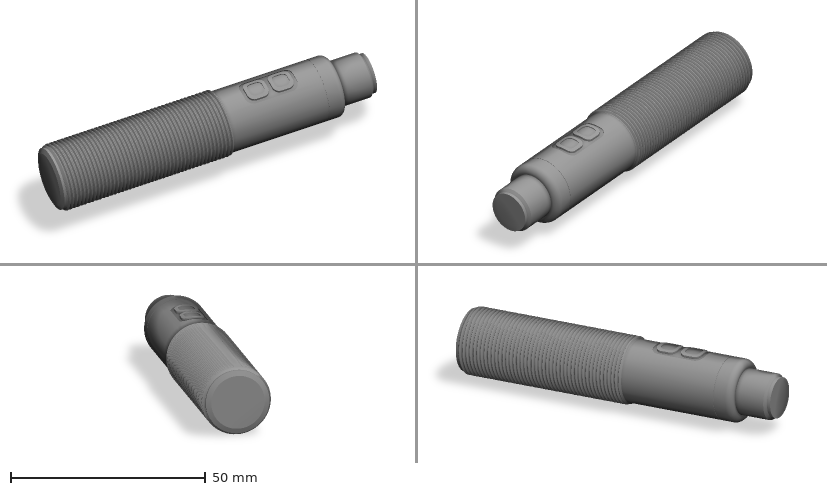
import cadquery as cq
LENGTH = 90.0
FRONT_Y = -LENGTH / 2
BACK_Y = LENGTH / 2

BODY_RADIUS = 8.4
FACE_RADIUS = 7.0
FACE_BEVEL_LENGTH = 0.5
SHOULDER_Y = 35.3
SHOULDER_FILLET = 1.8
SEAM_Y = 30.3
SEAM_WIDTH = 0.3
SEAM_DEPTH = 0.1

CONNECTOR_RADIUS = 6.1
TIP_RADIUS = 5.4
TIP_LENGTH = 0.9
TIP_TAPER = CONNECTOR_RADIUS - TIP_RADIUS

CREST_RADIUS = 9.0
ROOT_RADIUS = 8.5
BASE_RADIUS = 8.3
CORE_OVERRUN = 0.9
TRIM_RADIUS = 9.9
TRIM_LENGTH = 2.7
THREAD_BACK_Y = 3.4
THREAD_LENGTH = 47.25
THREAD_FRONT_Y = THREAD_BACK_Y - THREAD_LENGTH
THREAD_TURNS = 45
PITCH = THREAD_LENGTH / THREAD_TURNS
CREST_HALF_WIDTH = PITCH / 16
ROOT_HALF_WIDTH = PITCH * 3 / 8

RIDGE_START_Y = 4.05
RIDGE_RUNS = 2
RUN_LENGTH = 23 * PITCH

PANEL_WIDTH = 7.6
PANEL_LENGTH = 14.8
PANEL_Y = 16.7
PANEL_CORNER = 2.2
PANEL_DEPTH = 0.3

BUTTON_PITCH = 7.0
BUTTON_SIZE = 5.9
BUTTON_CORNER = 1.8
RIM_HEIGHT = 0.3
KEY_SIZE = 4.1
KEY_CORNER = 1.35


def revolved(profile):
    """Solid turned around the Y axis from a half profile in XY."""
    return profile.close().revolve(360, (0, 0), (0, 1))


def front_end():
    """Short plain collar with the bevelled sensing face."""
    return revolved(
        cq.Workplane("XY")
        .moveTo(0, FRONT_Y)
        .lineTo(FACE_RADIUS, FRONT_Y)
        .lineTo(BODY_RADIUS, FRONT_Y + FACE_BEVEL_LENGTH)
        .lineTo(BODY_RADIUS, THREAD_FRONT_Y)
        .lineTo(0, THREAD_FRONT_Y)
    )


def back_body():
    """Smooth body from the thread to the shoulder, and the connector behind it."""
    return revolved(
        cq.Workplane("XY")
        .moveTo(0, THREAD_BACK_Y)
        .lineTo(BODY_RADIUS, THREAD_BACK_Y)
        .lineTo(BODY_RADIUS, SEAM_Y - SEAM_WIDTH)
        .lineTo(BODY_RADIUS - SEAM_DEPTH, SEAM_Y - SEAM_WIDTH)
        .lineTo(BODY_RADIUS - SEAM_DEPTH, SEAM_Y)
        .lineTo(BODY_RADIUS, SEAM_Y)
        .lineTo(BODY_RADIUS, SHOULDER_Y - SHOULDER_FILLET)
        .radiusArc((BODY_RADIUS - SHOULDER_FILLET, SHOULDER_Y), -SHOULDER_FILLET)
        .lineTo(CONNECTOR_RADIUS, SHOULDER_Y)
        .lineTo(CONNECTOR_RADIUS, BACK_Y - TIP_LENGTH - TIP_TAPER)
        .lineTo(TIP_RADIUS, BACK_Y - TIP_LENGTH)
        .lineTo(TIP_RADIUS, BACK_Y)
        .lineTo(0, BACK_Y)
    )


def ridge_run():
    """One run of the right-handed helical ridge, rooted below the thread's root."""
    flank_slope = (ROOT_HALF_WIDTH - CREST_HALF_WIDTH) / (CREST_RADIUS - ROOT_RADIUS)
    base_half_width = CREST_HALF_WIDTH + flank_slope * (CREST_RADIUS - BASE_RADIUS)
    helix = cq.Wire.makeHelix(PITCH, RUN_LENGTH, BASE_RADIUS)
    return (
        cq.Workplane("XZ")
        .polyline(
            [
                (BASE_RADIUS, -base_half_width),
                (CREST_RADIUS, -CREST_HALF_WIDTH),
                (CREST_RADIUS, CREST_HALF_WIDTH),
                (BASE_RADIUS, base_half_width),
            ]
        )
        .close()
        .sweep(cq.Workplane(helix), isFrenet=True)
        .rotate((0, 0, 0), (1, 0, 0), 90)
    )


def end_trim(y, outward):
    """Cutter that ends the thread at y in a 45 degree chamfer; outward is the sign of Y there."""
    rise = TRIM_RADIUS - BODY_RADIUS
    far_y = y + outward * TRIM_LENGTH
    return revolved(
        cq.Workplane("XY")
        .moveTo(0, y)
        .lineTo(BODY_RADIUS, y)
        .lineTo(TRIM_RADIUS, y - outward * rise)
        .lineTo(TRIM_RADIUS, far_y)
        .lineTo(0, far_y)
    )


def thread():
    """Threaded stretch: a root cylinder carrying the ridge, chamfered at both ends."""
    core_back_y = THREAD_BACK_Y + CORE_OVERRUN
    core_length = THREAD_LENGTH + 2 * CORE_OVERRUN
    threaded = cq.Workplane("XZ", origin=(0, core_back_y, 0)).circle(ROOT_RADIUS).extrude(core_length)
    for run in range(RIDGE_RUNS):
        ridge = ridge_run().translate((0, RIDGE_START_Y - run * RUN_LENGTH, 0))
        threaded = threaded.union(ridge, clean=False)
    threaded = threaded.cut(end_trim(THREAD_BACK_Y, 1), clean=False)
    return threaded.cut(end_trim(THREAD_FRONT_Y, -1), clean=False)


def rounded_prism(width, length, corner, y):
    """Upright rounded-rectangle prism reaching from the axis past the top of the body."""
    return (
        cq.Workplane("XY")
        .center(0, y)
        .rect(width, length)
        .extrude(CREST_RADIUS)
        .edges("|Z")
        .fillet(corner)
    )


def cylinder(radius):
    """Cylinder on the Y axis, as long as the part."""
    return cq.Workplane("XZ").circle(radius).extrude(LENGTH / 2, both=True)


def panel_cut():
    """Shallow recess that follows the curve of the body."""
    outline = rounded_prism(PANEL_WIDTH, PANEL_LENGTH, PANEL_CORNER, PANEL_Y)
    return outline.cut(cylinder(BODY_RADIUS - PANEL_DEPTH))


def button(y):
    """Button with a raised rim and a key flush with the body."""
    outline = rounded_prism(BUTTON_SIZE, BUTTON_SIZE, BUTTON_CORNER, y)
    key = rounded_prism(KEY_SIZE, KEY_SIZE, KEY_CORNER, y)
    rim = outline.intersect(cylinder(BODY_RADIUS + RIM_HEIGHT))
    return rim.cut(key.cut(cylinder(BODY_RADIUS)))


result = back_body().cut(panel_cut())
for side in (-1, 1):
    result = result.union(button(PANEL_Y + side * BUTTON_PITCH / 2))
result = result.union(thread(), clean=False).union(front_end(), clean=False)